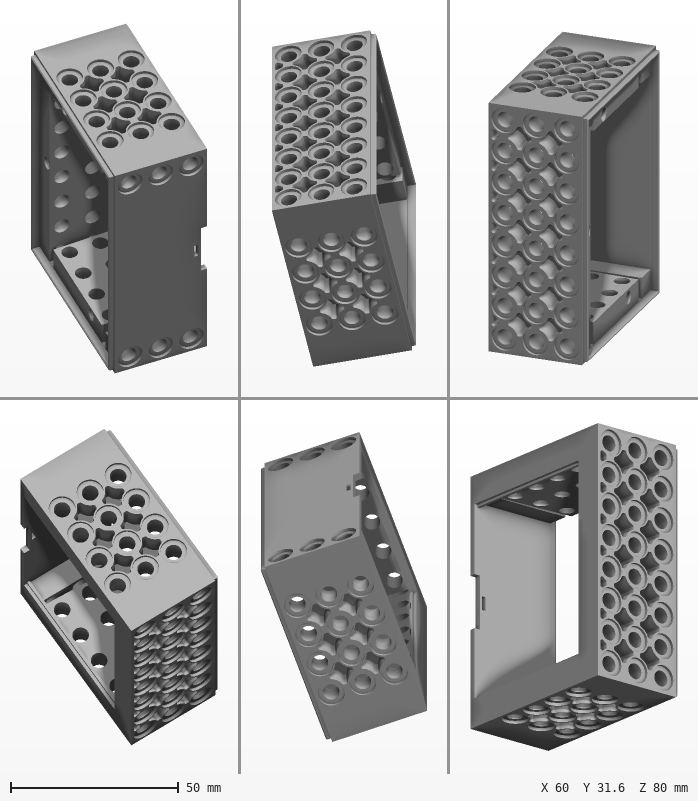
import cadquery as cq
width = 60.0
depth = 30.0
height = 80.0
wall = 2.0
panel_front = depth - wall

lip_height = 1.6
lip_inset = 0.9
lip_chamfer = 0.3

rebate_inset = 1.8
rebate_depth = 1.0

block_thickness = 9.2
block_front = 1.0
block_front_start = 12.0
block_back_start = 10.8
rail_width = 7.2
rail_height = 8.6

window_margin = 10.0
lid_seat_width = 0.8
lid_seat_depth = 1.0

pitch = 10.0
bore_diameter = 5.0
counterbore_diameter = 8.0
counterbore_depth = 1.0
rows_deep = 3
columns_wide = 4
rows_high = 8

pocket_clearance = 0.5
pocket_reach = 3.8
pocket_depth = 6.8
pocket_fillet = 0.6
pocket_draft = 2.7
half_pocket_reach = 3.4
half_pocket_fillet = 0.7
back_wall = 1.0

pin_diameter = 3.7
pin_depth = 2.0
pin_chamfer = 0.2
pin_offset = 7.0
bottom_pin_height = 6.4

lead_in = 0.4
lead_in_length = 4.6
lead_in_heights = [height / 4, height / 2, 3 * height / 4]
slot_width = 1.3
slot_length = 4.3
slot_back = 27.1
notch_length = 17.1


def box(x0, x1, y0, y1, z0, z1):
    return cq.Workplane("XY").box(x1 - x0, y1 - y0, z1 - z0, centered=False).translate((x0, y0, z0))


def inset_box(inset, y0, y1):
    """Box that keeps one distance from the four outer sides of the frame."""
    return box(inset, width - inset, y0, y1, inset, height - inset)


def mirror_z(solid):
    """Copy from the lower half of the frame to the upper half."""
    return solid.mirror("XY", (0, 0, height / 2))


def frame():
    """Hollow shell with the lip and the rebate around its front opening."""
    opening = inset_box(rebate_inset, -lip_height, rebate_depth)
    lip = inset_box(lip_inset, -lip_height, 0).cut(opening).faces("<Y").chamfer(lip_chamfer)
    shell = inset_box(0, 0, depth).cut(opening).union(lip)
    return shell.cut(inset_box(wall, 0, panel_front))


def window():
    """Opening through the back panel, with a seat for a lid on its left, top and bottom."""
    right = width - wall
    opening = box(window_margin, right, panel_front, depth, window_margin, height - window_margin)
    seat_margin = window_margin - lid_seat_width
    seat = box(seat_margin, right, depth - lid_seat_depth, depth, seat_margin, height - seat_margin)
    return [opening, seat]


def bottom_block():
    """Block over the bottom wall, widening towards the back panel."""
    outline = [
        (block_front_start, block_front),
        (width - block_front_start, block_front),
        (width - block_back_start, panel_front),
        (block_back_start, panel_front),
    ]
    return cq.Workplane("XY").polyline(outline).close().extrude(block_thickness)


def blocks():
    """Left, top and bottom blocks, and a rail in each right-hand corner."""
    rail_start = width - wall - rail_width
    rail = box(rail_start, width - wall, block_front, panel_front, 0, rail_height)
    lower = bottom_block().union(rail)
    left = box(0, block_thickness, block_front, panel_front, wall, height - wall)
    return left.union(lower).union(mirror_z(lower))


def grid(count_u, count_v, start_u, start_v):
    return [(start_u + i * pitch, start_v + j * pitch) for i in range(count_u) for j in range(count_v)]


def stepped_hole():
    """Hole going up from the XY plane, with its counterbore at the bottom."""
    hole = cq.Workplane("XY").circle(bore_diameter / 2).extrude(block_thickness)
    return hole.union(cq.Workplane("XY").circle(counterbore_diameter / 2).extrude(counterbore_depth))


def pocket_prism(reach):
    """Straight prism with its sides hollowed around the four nearest holes."""
    radius = counterbore_diameter / 2 + pocket_clearance
    corners = grid(2, 2, -pitch / 2, -pitch / 2)
    prism = cq.Workplane("XY").rect(2 * reach, 2 * reach).extrude(pocket_depth)
    return prism.cut(cq.Workplane("XY").pushPoints(corners).circle(radius).extrude(pocket_depth))


def pocket():
    """Pocket going up from the XY plane, with rounded tips, narrowing towards its floor."""
    rounded = pocket_prism(pocket_reach).edges("|Z").fillet(pocket_fillet)
    mouth = rounded.faces("<Z").wires().toPending()
    return mouth.extrude(pocket_depth, combine=False, taper=pocket_draft)


def half_pocket():
    """Straight-sided pocket cut short so that it keeps clear of the back face (towards +Y)."""
    kept = box(-pitch, pitch, -pitch, -back_wall, 0, pocket_depth)
    return pocket_prism(half_pocket_reach).intersect(kept).edges("|Z").fillet(half_pocket_fillet)


def copies(tool, points):
    """Copies of one cutting tool, at points of the XY plane, as a single shape."""
    solid = tool.val()
    return cq.Workplane(cq.Compound.makeCompound([solid.translate(cq.Vector(x, y, 0)) for x, y in points]))


def from_left(tools):
    """Turn tools that go up from the bottom face so that they go in from the left face."""
    return tools.rotate((0, 0, 0), (0, 1, 0), 90).translate((0, 0, height))


def bottom_tools():
    first_column = (width - (columns_wide - 1) * pitch) / 2
    holes = copies(stepped_hole(), grid(columns_wide, rows_deep, first_column, pitch / 2))
    pockets = copies(pocket(), grid(columns_wide - 1, rows_deep - 1, first_column + pitch / 2, pitch))
    return [holes, pockets]


def left_tools():
    holes = copies(stepped_hole(), grid(rows_high, rows_deep, pitch / 2, pitch / 2))
    pockets = copies(pocket(), grid(rows_high - 1, rows_deep - 1, pitch, pitch))
    half_pockets = copies(half_pocket(), grid(rows_high - 1, 1, pitch, depth))
    return [from_left(tools) for tools in (holes, pockets, half_pockets)]


def right_tools():
    """Holes through the two rails and the right wall, level with the end holes of the left block."""
    lower = copies(stepped_hole(), grid(1, rows_deep, pitch / 2, pitch / 2))
    lower = lower.rotate((0, 0, 0), (0, 1, 0), -90).translate((width, 0, 0))
    return [lower, mirror_z(lower)]


def pin_hole(x, z):
    """Blind chamfered hole into the front of a block."""
    radius = pin_diameter / 2
    mouth = radius + pin_chamfer
    profile = [(0, 0), (mouth, 0), (radius, pin_chamfer), (radius, pin_depth), (0, pin_depth)]
    hole = cq.Workplane("XY").polyline(profile).close().revolve(360, (0, 0, 0), (0, 1, 0))
    return hole.translate((x, block_front, z))


def pin_holes():
    return [
        pin_hole(width / 3, height - pin_offset),
        pin_hole(pin_offset, height / 2),
        pin_hole(2 * width / 3, bottom_pin_height),
    ]


def lead_ins():
    """Short 45 degree chamfers on the left edge of the back window."""
    outline = [
        (window_margin - lead_in, panel_front),
        (window_margin, panel_front),
        (window_margin, panel_front + lead_in),
    ]
    wedge = cq.Workplane("XY").polyline(outline).close().extrude(lead_in_length)
    return [wedge.translate((0, 0, z - lead_in_length / 2)) for z in lead_in_heights]


def latch_openings():
    """Slot through the right wall, and the notch behind it in the back edge of that wall."""
    inside = width - wall
    middle = height / 2
    slot_low = middle - slot_length / 2
    notch_low = middle - notch_length / 2
    slot = box(inside, width, slot_back - slot_width, slot_back, slot_low, slot_low + slot_length)
    notch = box(inside, width, panel_front, depth, notch_low, notch_low + notch_length)
    return [slot, notch]


result = frame().union(blocks())
lower_tools = bottom_tools()
upper_tools = [mirror_z(tool) for tool in lower_tools]
openings = window() + left_tools() + right_tools() + pin_holes() + lead_ins() + latch_openings()
for tool in lower_tools + upper_tools + openings:
    result = result.cut(tool)